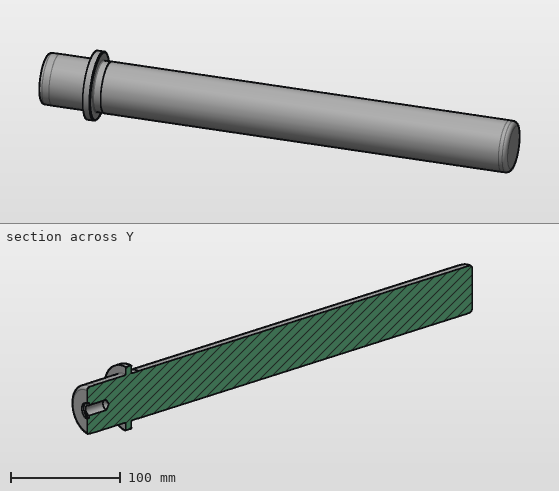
import cadquery as cq
import math

length = 445.0
shaft_radius = 24.0
collar_radius = 32.0

taper_depth = 0.15
left_round = 3.0
left_taper_length = 6.5
right_round = 4.0
right_taper_length = 3.5

collar_start = 44.5
collar_width = 7.0
foot_fillet = 0.65
rim_chamfer = 1.0

relief_end = 59.0
relief_depth = 0.22

hole_radius = 5.0
hole_depth = 22.2
drill_point_angle = 118.0
counterbore_radius = 7.5
counterbore_depth = 2.2


def turned_body():
    """Revolve the half outline, whose second coordinate is the radius."""
    end_radius = shaft_radius - taper_depth
    relief_radius = shaft_radius - relief_depth
    collar_end = collar_start + collar_width
    right_round_start = length - right_round
    arc_inset = 1 - math.sqrt(0.5)
    left_inset = left_round * arc_inset
    right_inset = right_round * arc_inset
    foot_inset = foot_fillet * arc_inset

    return (
        cq.Workplane("XY")
        .lineTo(0, end_radius - left_round)
        .threePointArc((left_inset, end_radius - left_inset), (left_round, end_radius))
        .lineTo(left_round + left_taper_length, shaft_radius)
        .lineTo(collar_start - foot_fillet, shaft_radius)
        .threePointArc(
            (collar_start - foot_inset, shaft_radius + foot_inset),
            (collar_start, shaft_radius + foot_fillet),
        )
        .lineTo(collar_start, collar_radius)
        .lineTo(collar_end - rim_chamfer, collar_radius)
        .lineTo(collar_end, collar_radius - rim_chamfer)
        .lineTo(collar_end, relief_radius + foot_fillet)
        .threePointArc(
            (collar_end + foot_inset, relief_radius + foot_inset),
            (collar_end + foot_fillet, relief_radius),
        )
        .lineTo(relief_end, relief_radius)
        .lineTo(relief_end, shaft_radius)
        .lineTo(right_round_start - right_taper_length, shaft_radius)
        .lineTo(right_round_start, end_radius)
        .threePointArc((length - right_inset, end_radius - right_inset), (length, end_radius - right_round))
        .lineTo(length, 0)
        .close()
        .revolve(360, (0, 0, 0), (1, 0, 0))
    )


def axial_hole():
    """Counterbored blind hole with the cone that a drill point leaves."""
    axis = cq.Vector(1, 0, 0)
    tip_length = hole_radius / math.tan(math.radians(drill_point_angle / 2))
    counterbore = cq.Solid.makeCylinder(counterbore_radius, counterbore_depth, cq.Vector(0, 0, 0), axis)
    drill = cq.Solid.makeCylinder(hole_radius, hole_depth, cq.Vector(0, 0, 0), axis)
    tip = cq.Solid.makeCone(hole_radius, 0, tip_length, cq.Vector(hole_depth, 0, 0), axis)
    return counterbore.fuse(drill).fuse(tip)


result = turned_body().cut(axial_hole())